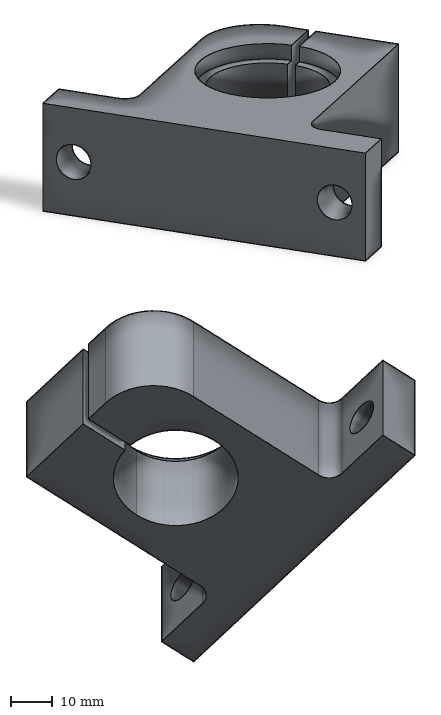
import cadquery as cq

flange_length = 84.0
total_height = 68.0
thickness = 28.0
flange_height = 10.0

body_width = 45.0
corner_radius = 15.0
root_fillet_radius = 4.0

bore_diameter = 30.0
bore_height = 40.0
counterbore_diameter = 35.0
counterbore_depth = 4.0

slit_width = 2.0

mount_hole_diameter = 9.0
mount_hole_spacing = 68.0


def make_blank():
    """T-shaped body with rounded roots and one rounded corner, mounting face on Y = 0."""
    flange = cq.Workplane("XY").box(flange_length, flange_height, thickness, centered=(True, False, False))
    body = cq.Workplane("XY").box(body_width, total_height, thickness, centered=(True, False, False))
    blank = flange.union(body)

    half_width = body_width / 2
    for side in (-1, 1):
        root = cq.NearestToPointSelector((side * half_width, flange_height, thickness / 2))
        blank = blank.edges("|Z").edges(root).fillet(root_fillet_radius)

    corner = cq.NearestToPointSelector((-half_width, total_height, thickness / 2))
    return blank.edges("|Z").edges(corner).fillet(corner_radius)


def make_bore():
    """Through bore with a counterbore at the +Z face."""
    bore = cq.Workplane("XY").center(0, bore_height).circle(bore_diameter / 2).extrude(thickness)
    counterbore = (
        cq.Workplane("XY", origin=(0, bore_height, thickness))
        .circle(counterbore_diameter / 2)
        .extrude(-counterbore_depth)
    )
    return bore.union(counterbore)


def make_slit():
    """Full-thickness slit from the bore centre out through the +Y end."""
    slit_length = total_height - bore_height
    slit = cq.Workplane("XY").box(slit_width, slit_length, thickness, centered=(True, False, False))
    return slit.translate((0, bore_height, 0))


def make_mount_holes():
    """Pair of holes along Y through the flange, at mid thickness."""
    half_spacing = mount_hole_spacing / 2
    mid_thickness = thickness / 2
    return (
        cq.Workplane("XZ")
        .pushPoints([(-half_spacing, mid_thickness), (half_spacing, mid_thickness)])
        .circle(mount_hole_diameter / 2)
        .extrude(-flange_height)
    )


result = make_blank().cut(make_bore()).cut(make_slit()).cut(make_mount_holes())